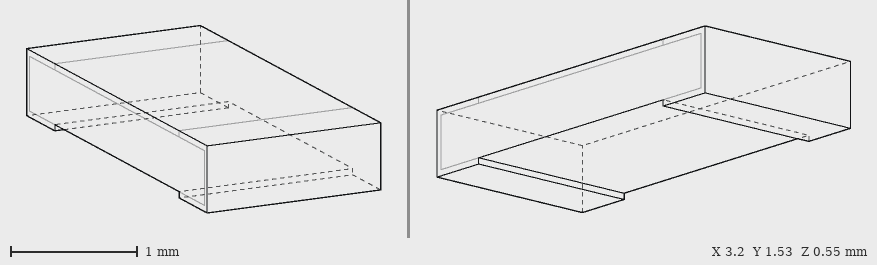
import cadquery as cq

length = 3.2
width = 1.53
height = 0.55
terminal_length = 0.5
layer = 0.05

core_length = length - 2 * layer
core_height = height - 2 * layer
coating_length = length - 2 * terminal_length


def block(size_x, size_z, centre_x=0.0, centre_z=0.0):
    """Full-width block centred at the given X and Z."""
    return cq.Workplane("XY").box(size_x, width, size_z).translate((centre_x, 0, centre_z))


core = block(core_length, core_height)
coating = block(coating_length, layer, centre_z=(height - layer) / 2)


def terminal(side):
    """C-shaped end cap wrapped over the top, end and bottom of the core."""
    centre_x = side * (length - terminal_length) / 2
    return block(terminal_length, height, centre_x).cut(core)


result = core.union(coating, clean=False)
for side in (-1, 1):
    result = result.union(terminal(side), clean=False)